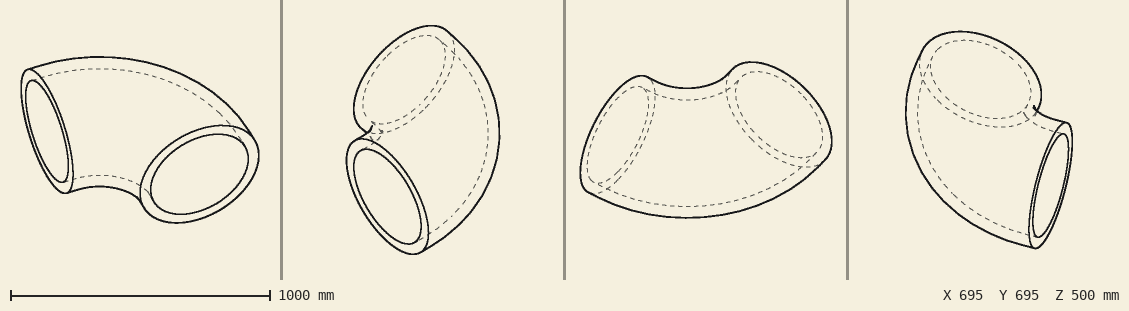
import cadquery as cq

overall_length = 695.0
outer_diameter = 500.0
bore_diameter = 410.0
collar_length = 45.0

bend_radius = overall_length - collar_length - outer_diameter / 2


def elbow(diameter):
    """Solid 90 degree elbow: straight end, quarter bend, straight end."""
    inlet = cq.Workplane("XZ").circle(diameter / 2).extrude(collar_length)
    bend = (
        cq.Workplane("XZ")
        .circle(diameter / 2)
        .revolve(90, (bend_radius, 7, 0), (bend_radius, 0, 0))
    )
    outlet = (
        cq.Workplane("YZ", origin=(bend_radius, bend_radius, 0))
        .circle(diameter / 2)
        .extrude(collar_length)
    )
    return inlet.union(bend).union(outlet)


result = elbow(outer_diameter).cut(elbow(bore_diameter))